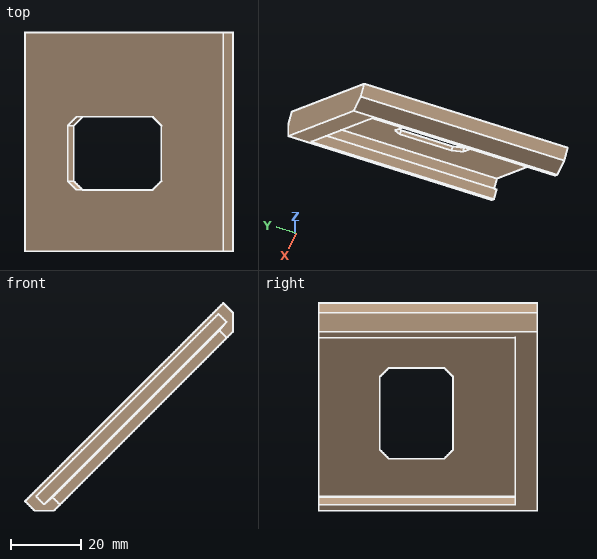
import cadquery as cq
import math


size_x = 59.27
width = 62.36
tilt = 45.0
square_edge = 3.9
thickness = 7.75
edge_chamfer = thickness - square_edge
length = size_x / math.cos(math.radians(tilt)) - square_edge

roof = 1.25
pocket_depth = 3.25
wall = 3.2
shelf = 0.5
lip = 3.15
lip_slope = 0.1
lip_drop = (lip - shelf) * lip_slope
overrun = 10.0

window_length = 37.7
window_width = 20.8
window_corner_x = 3.55
window_corner_y = 2.5
window_start = 17.2
window_front_margin = 17.5
window_x = window_start + (window_length - length) / 2
window_y = window_front_margin + (window_width - width) / 2


def make_body():
    """Plate whose two end edges are chamfered on the underside."""
    half = length / 2
    outline = [
        (-half, 0),
        (half, 0),
        (half, -square_edge),
        (half - edge_chamfer, -thickness),
        (-half + edge_chamfer, -thickness),
        (-half, -square_edge),
    ]
    return cq.Workplane("XZ").polyline(outline).close().extrude(width / 2, both=True)


def pocket_profile(plane, low, high, reach):
    """Prism with the pocket's cross-section: a groove, then sloped lips down to a narrower mouth."""
    top = -roof
    shelf_level = top - pocket_depth
    tip_level = shelf_level - lip_drop
    bottom = -thickness - overrun
    outline = [
        (low, top),
        (high, top),
        (high, shelf_level),
        (high - shelf, shelf_level),
        (high - lip, tip_level),
        (high - lip, bottom),
        (low + lip, bottom),
        (low + lip, tip_level),
        (low + shelf, shelf_level),
        (low, shelf_level),
    ]
    return cq.Workplane(plane).polyline(outline).close().extrude(reach, both=True)


def make_pocket():
    """Pocket with lips along both ends and the back; it runs out through the front."""
    lengthwise = pocket_profile("XZ", wall - length / 2, length / 2 - wall, width)
    crosswise = pocket_profile("YZ", -width / 2 - overrun, width / 2 - wall, length)
    return lengthwise.intersect(crosswise)


def window_outline(level, shift):
    """Rectangle with cut corners at the given level, shifted along X."""
    half_x = window_length / 2
    half_y = window_width / 2
    points = [
        (-half_x, -half_y + window_corner_y),
        (-half_x + window_corner_x, -half_y),
        (half_x - window_corner_x, -half_y),
        (half_x, -half_y + window_corner_y),
        (half_x, half_y - window_corner_y),
        (half_x - window_corner_x, half_y),
        (-half_x + window_corner_x, half_y),
        (-half_x, half_y - window_corner_y),
    ]
    plane = cq.Workplane("XY", origin=(window_x + shift, window_y, level))
    return plane.polyline(points).close()


def make_window():
    """Window whose upper edge is square to the plate and whose lower edge is level once tilted."""
    depth = 2 * roof
    lean = depth * math.tan(math.radians(tilt))
    square_cut = window_outline(0, 0).extrude(-depth)
    upper_wire = window_outline(0, 0).val()
    lower_wire = window_outline(-depth, lean).val()
    leaning_cut = cq.Workplane(cq.Solid.makeLoft([upper_wire, lower_wire], True))
    return square_cut.intersect(leaning_cut)


flat_holder = make_body().cut(make_pocket()).cut(make_window())

result = flat_holder.translate((0, 0, square_edge / 2)).rotate((0, 0, 0), (0, 1, 0), -tilt)